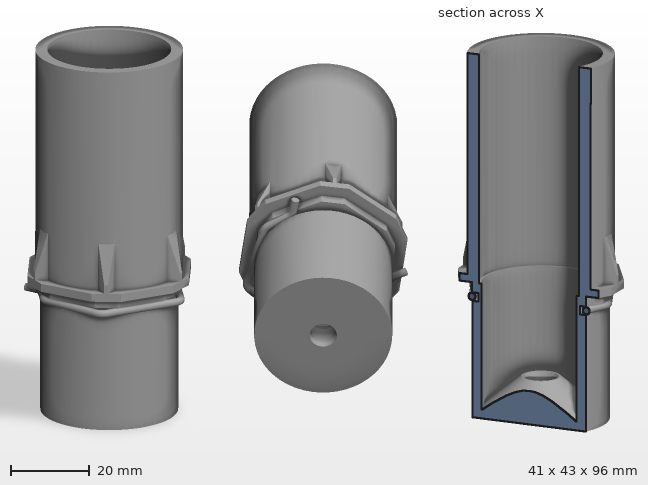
import cadquery as cq
import math

total_height = 96.0
groove_bottom = 30.8
groove_top = 32.9
flange_bottom = 35.6
flange_top = 37.7
rib_knee = 39.9
rib_top = 50.1

upper_diameter = 37.5
upper_radius = upper_diameter / 2
lower_diameter = 35.0
lower_radius = lower_diameter / 2
groove_radius = 16.0
bore_radius = 15.7

hexagon_sides = 6
hexagon_corner_turn = 180 / hexagon_sides
flange_width_x = 41.0
flange_width_y = 43.0
flange_apothem_x = flange_width_x / 2
flange_apothem_y = flange_width_y / 2
collar_apothem_x = lower_radius
collar_inset = flange_apothem_x - collar_apothem_x
collar_apothem_y = flange_apothem_y - collar_inset

rib_count = 6
rib_first_angle = 30.0
rib_tip_width = 1.0
rib_flare = 30.0

lower_bore_radius = 15.1
floor_thickness = lower_radius - lower_bore_radius
cone_tip_radius = 5.0
cone_slope = 40.0
hole_radius = 3.5
countersink_radius = 4.5
countersink_slope = 70.0

wire_diameter = 2.0
clip_apothem = 17.3
clip_tilt = 22.5
clip_bend_radius = 2.6
clip_throat_x = 7.3
clip_end_x = 11.4
clip_end_tilt = 27.0


def cylinder(radius, bottom, top):
    return cq.Workplane("XY").workplane(offset=bottom).circle(radius).extrude(top - bottom)


def hexagon_prism(apothem, flat_angle, bottom, top):
    """Hexagonal prism with the middle of one flat facing the given angle in degrees from +X."""
    vertex_radius = apothem / math.cos(math.pi / hexagon_sides)
    vertex_on_x = (
        cq.Workplane("XY")
        .workplane(offset=bottom)
        .polygon(hexagon_sides, 2 * vertex_radius)
        .extrude(top - bottom)
    )
    return vertex_on_x.rotate((0, 0, 0), (0, 0, 1), flat_angle - hexagon_corner_turn)


def twelve_sided_prism(apothem_x, apothem_y, bottom, top):
    flats_across_x = hexagon_prism(apothem_x, 0, bottom, top)
    flats_across_y = hexagon_prism(apothem_y, hexagon_corner_turn, bottom, top)
    return flats_across_x.intersect(flats_across_y)


def make_rib(angle):
    """Rib along +X that narrows outward and slopes down to its tip, then turned to its angle."""
    root = (bore_radius + upper_radius) / 2
    tip = flange_apothem_y
    half_tip = rib_tip_width / 2
    half_root = half_tip + (tip - root) * math.tan(math.radians(rib_flare))
    plan = (
        cq.Workplane("XY")
        .workplane(offset=flange_top)
        .polyline([(root, -half_root), (tip, -half_tip), (tip, half_tip), (root, half_root)])
        .close()
        .extrude(rib_top - flange_top)
    )
    side = (
        cq.Workplane("XZ")
        .moveTo(root, flange_top)
        .lineTo(tip, flange_top)
        .lineTo(tip, rib_knee)
        .lineTo(upper_radius, rib_top)
        .lineTo(root, rib_top)
        .close()
        .extrude(half_root, both=True)
    )
    return plan.intersect(side).rotate((0, 0, 0), (0, 0, 1), angle)


def make_bore():
    """Space inside the tubes: stepped bore around a cone, and the countersunk hole through the cone."""
    cone_height = (lower_bore_radius - cone_tip_radius) * math.tan(math.radians(cone_slope))
    countersink_depth = (countersink_radius - hole_radius) * math.tan(math.radians(countersink_slope))
    cone_tip = floor_thickness + cone_height
    return (
        cq.Workplane("XZ")
        .lineTo(hole_radius, 0)
        .lineTo(hole_radius, cone_tip - countersink_depth)
        .lineTo(countersink_radius, cone_tip)
        .lineTo(cone_tip_radius, cone_tip)
        .lineTo(lower_bore_radius, floor_thickness)
        .lineTo(lower_bore_radius, flange_bottom)
        .lineTo(bore_radius, flange_bottom)
        .lineTo(bore_radius, total_height)
        .lineTo(0, total_height)
        .close()
        .revolve(360, (0, 0, 0), (0, 1, 0))
    )


def make_housing():
    body = cylinder(lower_radius, 0, groove_bottom)
    body = body.union(cylinder(groove_radius, groove_bottom, groove_top))
    body = body.union(twelve_sided_prism(collar_apothem_x, collar_apothem_y, groove_top, flange_bottom))
    body = body.union(twelve_sided_prism(flange_apothem_x, flange_apothem_y, flange_bottom, flange_top))
    body = body.union(cylinder(upper_radius, flange_top, total_height))
    for index in range(rib_count):
        body = body.union(make_rib(rib_first_angle + index * 360 / rib_count))
    return body.cut(make_bore())


def make_clip():
    """Round wire bent around the groove, open on the -X side with its ends turned outward."""
    tilt = math.radians(clip_tilt)
    peak_y = clip_apothem / math.cos(tilt)
    corner_y = peak_y - clip_apothem * math.tan(tilt)
    throat_y = peak_y - clip_throat_x * math.tan(tilt)
    end_y = throat_y + (clip_end_x - clip_throat_x) * math.tan(math.radians(clip_end_tilt))
    half = [(-clip_end_x, end_y), (-clip_throat_x, throat_y), (0, peak_y), (clip_apothem, corner_y)]
    points = half + [(x, -y) for x, y in reversed(half)]

    level = groove_top - wire_diameter / 2
    corners = [cq.Vector(x, y, level) for x, y in points]
    centre_line = cq.Wire.makePolygon(corners)
    centre_line = centre_line.fillet2D(clip_bend_radius, centre_line.Vertices()[1:-1])
    start = cq.Plane(origin=corners[0].toTuple(), normal=(corners[1] - corners[0]).toTuple())
    return cq.Workplane(start).circle(wire_diameter / 2).sweep(cq.Workplane(centre_line))


clip = make_clip()
housing = make_housing()

result = cq.Compound.makeCompound([housing.solids().val(), clip.solids().val()])